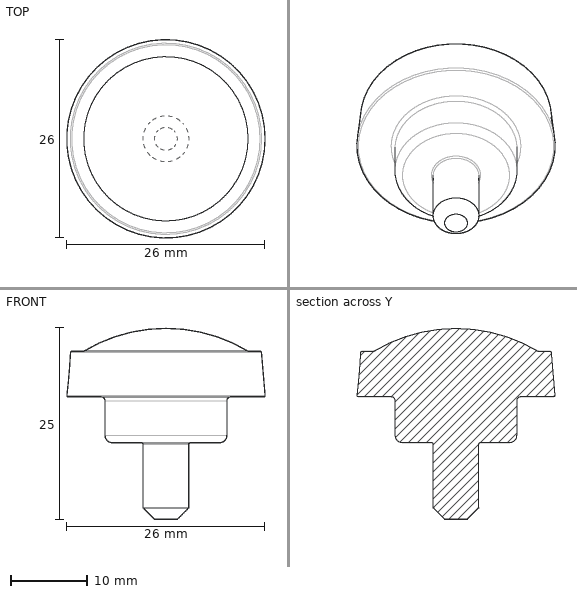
import cadquery as cq

head_diameter = 26.03
head_top_diameter = 25.0
head_height = 6.0
head_edge_fillet = 0.2

dome_diameter = 21.5
dome_height = 3.0

hub_diameter = 16.0
hub_height = 6.0
hub_root_fillet = 0.5
hub_edge_fillet = 1.0

pin_diameter = 6.0
pin_length = 10.0
pin_root_fillet = 0.2
pin_chamfer = 1.5

selection_gap = 0.03

hub_bottom = pin_length
head_bottom = hub_bottom + hub_height
head_top = head_bottom + head_height
dome_top = head_top + dome_height


def revolve_profile(profile):
    """Turn a closed XZ half profile around the Z axis."""
    return profile.close().revolve(360, (0, 0, 0), (0, 1, 0))


def make_head():
    """Head that tapers upwards, with softened rims."""
    profile = (
        cq.Workplane("XZ")
        .moveTo(0, head_bottom)
        .lineTo(head_diameter / 2, head_bottom)
        .lineTo(head_top_diameter / 2, head_top)
        .lineTo(0, head_top)
    )
    return revolve_profile(profile).faces("|Z").edges().fillet(head_edge_fillet)


def make_dome():
    """Spherical cap on top of the head."""
    rim_radius = dome_diameter / 2
    sphere_radius = (rim_radius**2 + dome_height**2) / (2 * dome_height)
    profile = (
        cq.Workplane("XZ")
        .moveTo(0, head_top)
        .lineTo(rim_radius, head_top)
        .radiusArc((0, dome_top), -sphere_radius)
    )
    return revolve_profile(profile)


def make_hub():
    """Cylindrical hub under the head, rounded at its lower edge."""
    hub = cq.Workplane("XY").workplane(offset=hub_bottom).circle(hub_diameter / 2).extrude(hub_height)
    return hub.faces("<Z").edges().fillet(hub_edge_fillet)


def make_pin():
    """Pin with a chamfered tip."""
    pin = cq.Workplane("XY").circle(pin_diameter / 2).extrude(pin_length)
    return pin.faces("<Z").edges().chamfer(pin_chamfer)


def fillet_root(body, diameter, level, radius):
    """Round the inner corner where a cylinder meets the face above it."""
    near_level = cq.selectors.BoxSelector(
        (-diameter, -diameter, level - selection_gap),
        (diameter, diameter, level + selection_gap),
    )
    smallest_ring = cq.selectors.RadiusNthSelector(0)
    return body.edges(near_level).edges(smallest_ring).fillet(radius)


result = make_head().union(make_dome()).union(make_hub()).union(make_pin())
result = fillet_root(result, hub_diameter, head_bottom, hub_root_fillet)
result = fillet_root(result, pin_diameter, hub_bottom, pin_root_fillet)